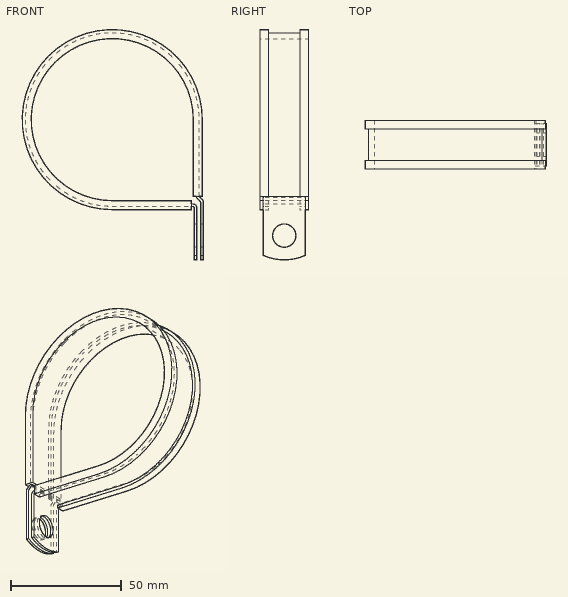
import cadquery as cq
import math

outer_radius = 40.8
wall = 4.2
cushion_width = 22.1
inner_radius = outer_radius - wall
vertical_leg_length = 34.7
horizontal_leg_length = 35.8

groove_depth = 1.5
groove_width = 14.1
strap_thickness = 1.3
strap_width = 19.2
strap_outer = outer_radius - groove_depth
strap_inner = strap_outer - strap_thickness
strap_embed = 2.1

overall_height = 104.2
overall_length = 81.9
tab_bottom = outer_radius - overall_height
outer_tab_right = overall_length - outer_radius
outer_tab_left = outer_tab_right - strap_thickness
inner_tab_right = 38.3
inner_tab_left = inner_tab_right - strap_thickness
inside_bend_radius = 0.6
outside_bend_radius = inside_bend_radius + strap_thickness
jog_top = -35.2
jog_angle = 45.0
jog_bend_radius = 0.8
tab_end_rise = 2.1
hole_diameter = 10.4
hole_height = -52.4


def extrude_across(profile, width):
    """Extrude an XZ profile symmetrically about Y = 0."""
    return profile.extrude(width / 2, both=True)


def loop_plate(radius, width):
    """Filled loop outline: three quarters of a circle and a square lower right corner."""
    diagonal = radius / math.sqrt(2)
    profile = (
        cq.Workplane("XZ")
        .moveTo(radius, 0)
        .threePointArc((-diagonal, diagonal), (0, -radius))
        .lineTo(radius, -radius)
        .close()
    )
    return extrude_across(profile, width)


def leg_gap():
    """Open lower right corner that separates the ends of the two legs."""
    profile = (
        cq.Workplane("XZ")
        .moveTo(0, -inner_radius)
        .lineTo(horizontal_leg_length, -inner_radius)
        .lineTo(horizontal_leg_length, -overall_height)
        .lineTo(overall_length, -overall_height)
        .lineTo(overall_length, -vertical_leg_length)
        .lineTo(0, -vertical_leg_length)
        .close()
    )
    return extrude_across(profile, cushion_width)


def make_cushion():
    groove = loop_plate(outer_radius, groove_width).cut(loop_plate(strap_outer, groove_width))
    loop = loop_plate(outer_radius, cushion_width).cut(loop_plate(inner_radius, cushion_width))
    return loop.cut(groove).cut(leg_gap())


def make_inner_tab():
    """Strap end leaving the horizontal leg and bending down."""
    start = horizontal_leg_length - strap_embed
    bend_x = inner_tab_right - outside_bend_radius
    bend_z = -strap_inner - outside_bend_radius
    profile = (
        cq.Workplane("XZ")
        .moveTo(start, -strap_inner)
        .lineTo(bend_x, -strap_inner)
        .radiusArc((inner_tab_right, bend_z), outside_bend_radius)
        .lineTo(inner_tab_right, tab_bottom)
        .lineTo(inner_tab_left, tab_bottom)
        .lineTo(inner_tab_left, bend_z)
        .radiusArc((bend_x, -strap_outer), -inside_bend_radius)
        .lineTo(start, -strap_outer)
        .close()
    )
    return extrude_across(profile, strap_width)


def make_outer_tab():
    """Strap end leaving the vertical leg and jogging outward before running down."""
    start = strap_embed - vertical_leg_length
    slope = math.radians(jog_angle)
    jog_bottom = jog_top - (outer_tab_left - strap_inner) / math.tan(slope)
    miter = strap_thickness * math.tan(slope / 2)
    profile = (
        cq.Workplane("XZ")
        .moveTo(strap_inner, start)
        .lineTo(strap_inner, jog_top)
        .lineTo(outer_tab_left, jog_bottom)
        .lineTo(outer_tab_left, tab_bottom)
        .lineTo(outer_tab_right, tab_bottom)
        .lineTo(outer_tab_right, jog_bottom + miter)
        .lineTo(strap_outer, jog_top + miter)
        .lineTo(strap_outer, start)
        .close()
    )
    outer_bend = cq.selectors.BoxSelector(
        (outer_tab_left - miter, -strap_width, jog_bottom - miter),
        (overall_length, strap_width, jog_bottom + 2 * miter),
    )
    return extrude_across(profile, strap_width).edges("|Y").edges(outer_bend).fillet(jog_bend_radius)


def tab_envelope():
    """Rounded lower end and bolt hole shared by both tabs, extending along X."""
    half_width = strap_width / 2
    return (
        cq.Workplane("YZ")
        .moveTo(-half_width, 0)
        .lineTo(-half_width, tab_bottom + tab_end_rise)
        .threePointArc((0, tab_bottom), (half_width, tab_bottom + tab_end_rise))
        .lineTo(half_width, 0)
        .close()
        .moveTo(0, hole_height)
        .circle(hole_diameter / 2)
        .extrude(overall_length)
    )


tabs = make_inner_tab().union(make_outer_tab()).intersect(tab_envelope())
result = make_cushion().union(tabs)